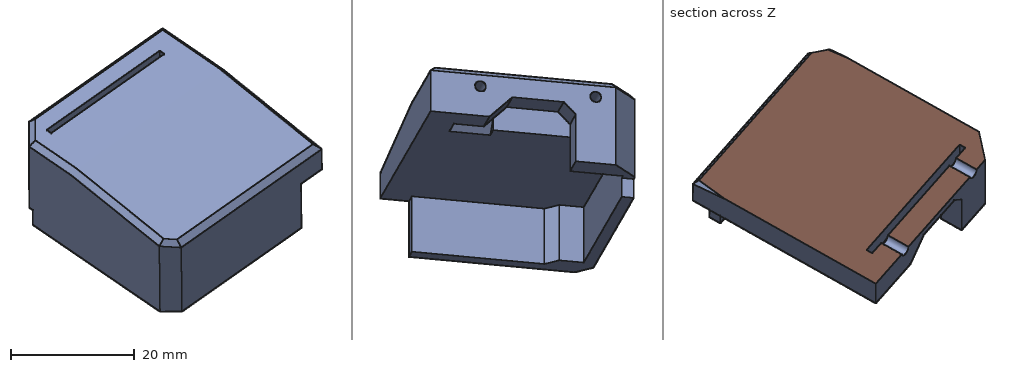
import cadquery as cq
import math

LENGTH = 36.27
WIDTH = 34.8
HEIGHT = 17.95

TOP_SLOPE = 7.0
STRIP_START = 13.55
STRIP_END = 14.07
TOP_CHAMFER = 1.0
TOP_FACE_MIN_NORMAL_Z = 0.9

END_WALL_LEAN = 0.17
END_TOP_X = LENGTH - END_WALL_LEAN
SLAB_SPAN = 3 * HEIGHT
LEFT_CORNER_CUT = 4.1
RIGHT_CORNER_CUT = 2.5

BLOCK_BOTTOM = 9.75
LOWER_WIDTH = 30.0
SIDE_WALL = 2.0
END_WALL = 2.2
LEFT_WALL = 4.1
POST_SIZE = 2.0
POST_WIDTH = 4.05

STEP_LENGTH = 4.9
STEP_HEIGHT = 3.3

SLOT_THICKNESS = 1.05
SLOT_START = 4.0
SLOT_END = LOWER_WIDTH
SLOT_MIDDLE = (SLOT_START + SLOT_END) / 2

OPENING_HALF_WIDTH = 6.25
OPENING_TOP = 13.55
OPENING_CORNER = 2.0
RELIEF = 2.1

HOLE_DIAMETER = 1.8
HOLE_SPACING = 19.1
HOLE_HEIGHT = 14.95


def box(x_range, y_range, z_range):
    """Axis-aligned box between the given (low, high) pairs."""
    size = [high - low for low, high in (x_range, y_range, z_range)]
    corner = (x_range[0], y_range[0], z_range[0])
    return cq.Workplane("XY").box(*size, centered=False).translate(corner)


def top_height(x):
    """Height of the sloped top at the given X."""
    strip_drop = (STRIP_END - STRIP_START) * math.tan(math.radians(TOP_SLOPE / 2))
    return HEIGHT - strip_drop - (x - STRIP_END) * math.tan(math.radians(TOP_SLOPE))


def chamfered_profile():
    """Side profile extruded across the width, left corner cut, top rim chamfered."""
    body = (
        cq.Workplane("XZ")
        .polyline([
            (0, 0),
            (LENGTH, 0),
            (END_TOP_X, top_height(END_TOP_X)),
            (STRIP_END, top_height(STRIP_END)),
            (STRIP_START, HEIGHT),
            (0, HEIGHT),
        ])
        .close()
        .extrude(-WIDTH)
    )
    body = body.edges("|Z and <X and <Y").chamfer(LEFT_CORNER_CUT)
    top_faces = [face for face in body.faces().vals() if face.normalAt().z > TOP_FACE_MIN_NORMAL_Z]
    edges = [edge for face in top_faces for edge in face.Edges()]
    rim = [edge for edge in edges if sum(edge.isSame(other) for other in edges) == 1]
    return body.newObject(rim).chamfer(TOP_CHAMFER)


def outside_of(first, second, third):
    """Slab lying on the plane of three points, counterclockwise seen from outside the body."""
    origin = cq.Vector(*first)
    along = cq.Vector(*second) - origin
    outward = along.cross(cq.Vector(*third) - origin)
    plane = cq.Plane(origin=origin, xDir=along, normal=outward)
    return cq.Workplane(plane).rect(SLAB_SPAN, SLAB_SPAN).extrude(HEIGHT)


def outer_body():
    """Chamfered profile with the +X -Y corner cut parallel to the leaning end wall and bevelled."""
    foot_front = (LENGTH - RIGHT_CORNER_CUT, 0, 0)
    foot_end = (LENGTH, RIGHT_CORNER_CUT, 0)
    cut_x = END_TOP_X - RIGHT_CORNER_CUT
    lean_top = (cut_x, 0, top_height(END_TOP_X))
    bevel_front = (cut_x, 0, top_height(cut_x) - TOP_CHAMFER)
    bevel_end = (END_TOP_X, RIGHT_CORNER_CUT, top_height(END_TOP_X) - TOP_CHAMFER)
    bevel_top = (cut_x, TOP_CHAMFER, top_height(cut_x))
    return (
        chamfered_profile()
        .cut(outside_of(foot_front, foot_end, lean_top))
        .cut(outside_of(bevel_front, bevel_end, bevel_top))
    )


def lower_space():
    """Space under the block, enclosed by the -Y wall, the +X wall and the -X wall."""
    inner_end = LENGTH - END_WALL
    post_face = inner_end - POST_SIZE
    post_end = SIDE_WALL + POST_WIDTH
    room = (
        cq.Workplane("XY")
        .polyline([
            (LEFT_WALL, SIDE_WALL),
            (post_face, SIDE_WALL),
            (post_face, post_end),
            (inner_end, post_end + POST_SIZE),
            (inner_end, WIDTH),
            (LEFT_WALL, WIDTH),
        ])
        .close()
        .extrude(BLOCK_BOTTOM)
    )
    overhang = box((0, LENGTH), (LOWER_WIDTH, WIDTH), (0, BLOCK_BOTTOM))
    step = box((0, STEP_LENGTH), (0, WIDTH), (0, STEP_HEIGHT))
    return room.union(overhang).union(step)


def slot():
    """Slot through the block, with a chamfered relief at the rear of its mouth."""
    rear = LEFT_WALL + SLOT_THICKNESS
    slit = box((LEFT_WALL, rear), (SLOT_START, SLOT_END), (0, HEIGHT))
    relief_start = SLOT_MIDDLE + OPENING_HALF_WIDTH
    relief = (
        cq.Workplane("XZ", origin=(0, relief_start, 0))
        .polyline([
            (rear, BLOCK_BOTTOM),
            (rear + RELIEF, BLOCK_BOTTOM),
            (rear, BLOCK_BOTTOM + RELIEF),
        ])
        .close()
        .extrude(relief_start - SLOT_END)
    )
    return slit.union(relief)


def wall_opening():
    """Opening in the -X wall; its +Y flank flares at 45 degrees down to the block bottom."""
    near = SLOT_MIDDLE - OPENING_HALF_WIDTH
    far = SLOT_MIDDLE + OPENING_HALF_WIDTH
    flank_end = far - OPENING_CORNER + OPENING_TOP - BLOCK_BOTTOM
    return (
        cq.Workplane("YZ")
        .polyline([
            (near, 0),
            (near, OPENING_TOP - OPENING_CORNER),
            (near + OPENING_CORNER, OPENING_TOP),
            (far - OPENING_CORNER, OPENING_TOP),
            (flank_end, BLOCK_BOTTOM),
            (WIDTH, BLOCK_BOTTOM),
            (WIDTH, 0),
        ])
        .close()
        .extrude(LEFT_WALL)
    )


def screw_holes():
    """Two round holes through the -X wall, evenly placed about the slot middle."""
    return (
        cq.Workplane("YZ")
        .pushPoints([(SLOT_MIDDLE + side * HOLE_SPACING / 2, HOLE_HEIGHT) for side in (-1, 1)])
        .circle(HOLE_DIAMETER / 2)
        .extrude(LEFT_WALL)
    )


result = outer_body()
for cutter in (lower_space(), slot(), wall_opening(), screw_holes()):
    result = result.cut(cutter)